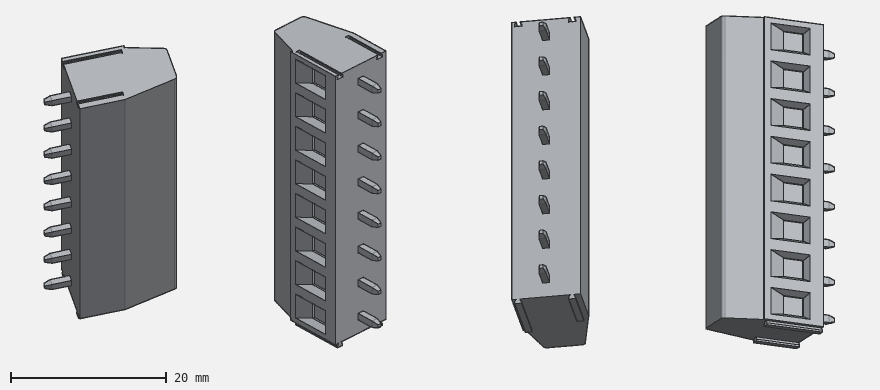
import cadquery as cq

total_height = 41.25
body_width = 9.0
body_depth = 13.5
pole_count = 8
rail_height = 0.6
body_height = total_height - rail_height
pitch = body_height / pole_count
half_width = body_width / 2

shoulder_y = 8.35
shoulder_step = 0.35
bend_y = 6.02
top_left_x = -2.6
top_right_x = 2.7
top_rounding = 0.5

entry_low_y = 1.9
entry_high_y = 7.45
entry_height = 3.6
socket_low_y = 2.4
socket_high_y = 5.25
socket_height = 2.5
taper_depth = 0.95
socket_depth = 0.3

pin_width = 0.9
pin_height = 1.0
pin_length = 3.5
pin_tip_length = 0.9
pin_tip_width = 0.5
pin_tip_height = 0.5

rail_width = 0.9
slot_width = 0.95
rail_neck_width = 0.5
rail_edge_height = 0.25
rails = [(-3.65, 7.85), (3.4, 6.05)]


def make_body():
    body = (
        cq.Workplane("XY")
        .polyline([
            (-half_width, 0),
            (half_width, 0),
            (half_width, bend_y),
            (top_right_x, body_depth),
            (top_left_x, body_depth),
            (-half_width + shoulder_step, shoulder_y),
            (-half_width, shoulder_y),
        ])
        .close()
        .extrude(body_height)
    )
    return body.faces(">Y").edges("|Z").fillet(top_rounding)


def make_entry(z):
    """Pocket that narrows from the -X face to a straight socket, centred on height z."""
    entry_y = (entry_low_y + entry_high_y) / 2
    socket_y = (socket_low_y + socket_high_y) / 2
    socket_width = socket_high_y - socket_low_y
    taper = (
        cq.Workplane("YZ", origin=(-half_width, entry_y, z))
        .rect(entry_high_y - entry_low_y, entry_height)
        .workplane(offset=taper_depth)
        .center(socket_y - entry_y, 0)
        .rect(socket_width, socket_height)
        .loft(ruled=True)
    )
    socket = (
        cq.Workplane("YZ", origin=(-half_width + taper_depth, socket_y, z))
        .rect(socket_width, socket_height)
        .extrude(socket_depth)
    )
    return taper.union(socket)


def make_pin(z):
    """Rectangular pin with a tapered tip, pointing to -Y at height z."""
    shank_length = pin_length - pin_tip_length
    shank = cq.Workplane("XZ", origin=(0, 0, z)).rect(pin_width, pin_height).extrude(shank_length)
    tip = (
        cq.Workplane("XZ", origin=(0, -shank_length, z))
        .rect(pin_width, pin_height)
        .workplane(offset=pin_tip_length)
        .rect(pin_tip_width, pin_tip_height)
        .loft(ruled=True)
    )
    return shank.union(tip)


def make_dovetail(x, length, z, width):
    """Dovetail bar along Y that hangs below height z and is narrowest there."""
    half_neck = rail_neck_width / 2
    half_outer = width / 2
    edge_z = -rail_height + rail_edge_height
    return (
        cq.Workplane("XZ", origin=(x, 0, z))
        .polyline([
            (-half_neck, 0),
            (-half_outer, edge_z),
            (-half_outer, -rail_height),
            (half_outer, -rail_height),
            (half_outer, edge_z),
            (half_neck, 0),
        ])
        .close()
        .extrude(-length)
    )


result = make_body()

for pole in range(pole_count):
    pole_z = (pole + 0.5) * pitch
    result = result.cut(make_entry(pole_z)).union(make_pin(pole_z))

for rail_x, rail_length in rails:
    result = result.cut(make_dovetail(rail_x, rail_length, body_height, slot_width))
    result = result.union(make_dovetail(rail_x, rail_length, 0, rail_width))